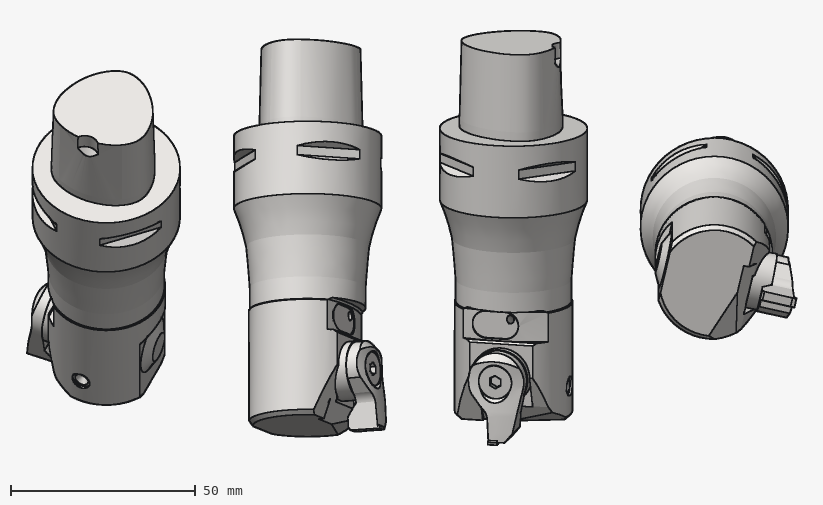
import cadquery as cq
import math


shank_height = 24.0
shank_straight = 2.5
shank_base_diameter = 28.0
shank_taper = 1 / 20
lobe_height = 0.9
lobe_count = 3
points_per_flank = 5

key_radius = 7.51 / 2
key_axis_y = -14.7
key_wall_bottom = 19.6

flange_radius = 20.0
flange_bottom = -20.0
cone_bottom = -30.6
cone_bottom_radius = 16.7
upper_sag = 0.3
neck_top = -42.0
neck_radius = 31.47 / 2
lower_sag = 0.05

notch_count = 4
notch_z = -7.93
notch_floor_height = 2.5
notch_height = 5.0
notch_depth = 2.1

head_radius = 16.0
head_top = -48.1
head_bottom = -80.0
head_bottom_chamfer = 1.2

pocket_top = -47.5
pocket_bottom = -56.4
pocket_floor_chamfer = 0.6
pocket_ends = ((11.1, -11.5), (-12.35, -10.15))
pocket_crest = (1.95, -12.5)
slot_x = -11.75
slot_z = -52.1
slot_radius = 7.51 / 2
slot_length = 12.8
coolant_hole = (-2.2, -50.4)
coolant_diameter = 2.0
coolant_depth = 8.0
coolant_drop_angle = 30.0

seat_flat_x = -13.35
seat_edge_chamfer = 0.6
rear_flat_x = 13.6
rear_flat_top = -57.3

relief_top = -66.0
relief_slope = 0.37
chip_pocket_top = -74.65
chip_pocket_slope = 0.65
chip_pocket_side_y = 6.5
recess_x = -10.0
recess_right_y = -7.95
recess_left_y = 2.9
corner_points = ((-8.8, -12.6, -76.6), (-7.5, -5.5, -78.7), (-3.6, -15.6, -78.85))

cross_z = -66.1
seat_boss_radius = 8.0
seat_boss_root = 1.0
seat_x = -15.6
rear_boss_x = 15.5
rear_boss_radius = 7.8
rear_boss_tip_radius = 4.1

nozzle_x = -0.6
nozzle_z = -70.8
nozzle_mouth_radius = 5.25 / 2
nozzle_throat_radius = 1.95
nozzle_bore_radius = 1.0 / 2
nozzle_mouth_depth = 0.7
nozzle_cone_depth = 2.6
nozzle_depth = 6.0

cutter_radius = 7.75
cutter_face_radius = 20.3
cutter_face_bend = (20.3, -67.0)
cutter_face_flare = (21.3, -74.0)
cutter_face_end_slope = 0.04
cutter_tip_radius = 21.95
cutter_bottom = -82.4
cutter_chamfer_x = -18.3
cutter_chamfer_drop = 2.1
flank_lower_y = -5.15
flank_lower_z = -79.9
flank_angle = 11.2
bottom_corner_y = -3.1
neck_start_angle = 27.0
neck_knee = (3.6, -73.2)
neck_bend = (2.45, -74.3)
neck_end = (1.85, -75.6)
edge_left_y = 1.4
edge_right_y = -1.15
edge_bottom = -83.0
edge_x = -22.5
lip_profile = ((-21.4, -81.6), (edge_x, -82.3), (edge_x, edge_bottom), (-21.4, edge_bottom))
heel_x = -13.0
heel_start_z = -75.3
heel_end_z = -79.1
heel_chamfer = 0.6
heel_bottom = -82.75

screw_head_radius = 9.2 / 2
screw_shank_radius = 6.0 / 2
screw_face_x = -19.8
screw_countersink_x = -20.0
screw_end_x = -2.0
hexagon_corner_diameter = 3.6
hexagon_depth = 2.0

reach = 60.0


def polygon_point(base_diameter, angle):
    """Point on a curve of constant width with rounded lobes, one of them toward +Y."""
    phase = lobe_count * (angle - math.pi / 2)
    support = base_diameter / 2 + lobe_height * math.cos(phase)
    slope = -lobe_count * lobe_height * math.sin(phase)
    x = support * math.cos(angle) - slope * math.sin(angle)
    y = support * math.sin(angle) + slope * math.cos(angle)
    return x, y


def polygon_wire(base_diameter, z):
    flank_count = 2 * lobe_count
    flank_span = 2 * math.pi / flank_count
    edges = []
    for flank in range(flank_count):
        start = flank * flank_span
        end = start + flank_span
        points = []
        for step in range(points_per_flank):
            angle = start + flank_span * step / (points_per_flank - 1)
            x, y = polygon_point(base_diameter, angle)
            points.append(cq.Vector(x, y, z))
        tangents = [cq.Vector(-math.sin(angle), math.cos(angle), 0) for angle in (start, end)]
        edges.append(cq.Edge.makeSpline(points, tangents=tangents))
    return cq.Wire.assembleEdges(edges)


def make_shank():
    top_diameter = shank_base_diameter - (shank_height - shank_straight) * shank_taper
    lower = polygon_wire(shank_base_diameter, 0)
    middle = polygon_wire(shank_base_diameter, shank_straight)
    upper = polygon_wire(top_diameter, shank_height)
    straight = cq.Solid.makeLoft([lower, middle], True)
    tapered = cq.Solid.makeLoft([middle, upper], True)
    shank = cq.Workplane(straight).union(cq.Workplane(tapered))

    key_groove = (
        cq.Workplane("XZ")
        .polyline([
            (0, shank_height),
            (key_radius, shank_height),
            (key_radius, key_wall_bottom),
            (0, key_wall_bottom - key_radius),
        ])
        .close()
        .revolve(360, (0, 0), (0, 1))
        .translate((0, key_axis_y, 0))
    )
    return shank.cut(key_groove)


def make_turned_body():
    upper_middle = ((flange_radius + cone_bottom_radius) / 2 - upper_sag, (flange_bottom + cone_bottom) / 2)
    lower_middle = ((cone_bottom_radius + neck_radius) / 2 - lower_sag, (cone_bottom + neck_top) / 2)
    head_shoulder = head_radius - neck_radius
    return (
        cq.Workplane("XZ")
        .moveTo(0, 0)
        .lineTo(flange_radius, 0)
        .lineTo(flange_radius, flange_bottom)
        .threePointArc(upper_middle, (cone_bottom_radius, cone_bottom))
        .threePointArc(lower_middle, (neck_radius, neck_top))
        .lineTo(neck_radius, head_top)
        .lineTo(head_radius, head_top - head_shoulder)
        .lineTo(head_radius, head_bottom + head_bottom_chamfer)
        .lineTo(head_radius - head_bottom_chamfer, head_bottom)
        .lineTo(0, head_bottom)
        .close()
        .revolve(360, (0, 0), (0, 1))
    )


def cut_notches(body):
    floor_x = flange_radius - notch_depth
    notch = (
        cq.Workplane("XZ")
        .polyline([
            (floor_x, notch_z + notch_floor_height / 2),
            (flange_radius, notch_z + notch_height / 2),
            (flange_radius, notch_z - notch_height / 2),
            (floor_x, notch_z - notch_floor_height / 2),
        ])
        .close()
        .extrude(flange_radius, both=True)
    )
    pitch = 360 / notch_count
    for index in range(notch_count):
        body = body.cut(notch.rotate((0, 0, 0), (0, 0, 1), (index + 0.5) * pitch))
    return body


def block_beyond(profile):
    """Bar with a closed X-Z profile that runs right across the part along Y."""
    return cq.Workplane("XZ").polyline(profile).close().extrude(reach, both=True)


def cut_flats(body):
    seat_flat = block_beyond([
        (seat_flat_x, head_bottom),
        (seat_flat_x, pocket_bottom - seat_edge_chamfer),
        (seat_flat_x + seat_edge_chamfer, pocket_bottom),
        (-reach, pocket_bottom),
        (-reach, head_bottom),
    ])
    ramp = head_radius - rear_flat_x
    rear_flat = block_beyond([
        (rear_flat_x, head_bottom),
        (rear_flat_x, rear_flat_top),
        (rear_flat_x + ramp, rear_flat_top + ramp),
        (rear_flat_x + ramp, head_bottom),
    ])
    return body.cut(seat_flat).cut(rear_flat)


def cut_side_pocket(body):
    (left_y, left_x), (right_y, right_x) = pocket_ends
    crest_y, crest_x = pocket_crest
    pocket = (
        cq.Workplane("XY", origin=(0, 0, pocket_bottom))
        .moveTo(left_x, left_y)
        .threePointArc((crest_x, crest_y), (right_x, right_y))
        .lineTo(-flange_radius, right_y)
        .lineTo(-flange_radius, left_y)
        .close()
        .extrude(pocket_top - pocket_bottom)
        .faces(">Z")
        .edges("%CIRCLE")
        .chamfer(pocket_floor_chamfer)
    )
    slot = (
        cq.Workplane("YZ", origin=(slot_x, 0, 0))
        .center(crest_y, slot_z)
        .slot2D(slot_length, 2 * slot_radius)
        .extrude(-head_radius / 4)
    )
    drop = math.radians(coolant_drop_angle)
    coolant_direction = cq.Vector(math.cos(drop), 0, -math.sin(drop))
    coolant_start = cq.Vector(slot_x, *coolant_hole) - coolant_direction
    coolant = cq.Workplane(cq.Solid.makeCylinder(
        coolant_diameter / 2, coolant_depth, coolant_start, coolant_direction,
    ))
    return body.cut(pocket).cut(slot).cut(coolant)


def cut_relief(body):
    """Slope under the cutter, with the deeper chip pocket, recess and cut-off corner."""
    relief = block_beyond([
        (seat_flat_x, relief_top),
        (seat_flat_x + relief_slope * (relief_top - head_bottom), head_bottom),
        (-reach, head_bottom),
        (-reach, relief_top),
    ])

    chip_x = seat_flat_x + relief_slope * (relief_top - chip_pocket_top)
    chip_pocket = block_beyond([
        (chip_x, chip_pocket_top),
        (chip_x + chip_pocket_slope * (chip_pocket_top - head_bottom), head_bottom),
        (-reach, head_bottom),
        (-reach, chip_pocket_top),
    ])
    chip_side = cq.Workplane("XY").box(
        2 * reach, reach, 4 * reach, centered=(True, False, True)
    ).translate((0, chip_pocket_side_y, 0))

    recess_height = relief_top - head_bottom
    recess = cq.Workplane("XY").box(
        reach, recess_left_y - recess_right_y, recess_height, centered=False
    ).translate((recess_x - reach, recess_right_y, head_bottom))

    first, second, third = (cq.Vector(*point) for point in corner_points)
    normal = (second - first).cross(third - first)
    corner = cq.Workplane(cq.Plane(origin=first, normal=normal)).rect(reach, reach).extrude(reach)
    return body.cut(relief).cut(chip_pocket.cut(chip_side)).cut(recess).cut(corner)


def cross_cylinder(radius, start_x, end_x):
    """Round bar on the cross axis."""
    return cq.Workplane("YZ", origin=(start_x, 0, cross_z)).circle(radius).extrude(end_x - start_x)


def add_bosses(body):
    seat_boss = cross_cylinder(seat_boss_radius, seat_x, recess_x + seat_boss_root)
    rear_boss = cq.Workplane(cq.Solid.makeCone(
        rear_boss_radius, rear_boss_tip_radius, rear_boss_x - rear_flat_x,
        cq.Vector(rear_flat_x, 0, cross_z), cq.Vector(1, 0, 0),
    ))
    return body.union(seat_boss).union(rear_boss)


def cut_nozzle_hole(body):
    mouth_y = head_radius
    nozzle = (
        cq.Workplane("XY")
        .polyline([
            (0, -mouth_y),
            (nozzle_mouth_radius, -mouth_y),
            (nozzle_mouth_radius, -mouth_y + nozzle_mouth_depth),
            (nozzle_throat_radius, -mouth_y + nozzle_mouth_depth),
            (nozzle_bore_radius, -mouth_y + nozzle_cone_depth),
            (nozzle_bore_radius, -mouth_y + nozzle_depth),
            (0, -mouth_y + nozzle_depth),
        ])
        .close()
        .revolve(360, (0, 0), (0, 1))
        .translate((nozzle_x, 0, nozzle_z))
    )
    return body.cut(nozzle)


def make_screw():
    head = cross_cylinder(screw_head_radius, screw_face_x, seat_x)
    shank = cross_cylinder(screw_shank_radius, seat_x, screw_end_x)
    hexagon = (
        cq.Workplane("YZ", origin=(screw_face_x, 0, cross_z))
        .polygon(6, hexagon_corner_diameter)
        .extrude(hexagon_depth)
        .rotate((0, 0, cross_z), (1, 0, cross_z), 90)
    )
    return head.union(shank).cut(hexagon)


def make_holder():
    body = cut_notches(make_turned_body())
    body = cut_side_pocket(cut_flats(body))
    body = cut_nozzle_hole(add_bosses(cut_relief(body)))
    screw_hole = cross_cylinder(screw_shank_radius, seat_x, screw_end_x)
    return body.union(make_shank()).cut(screw_hole)


def cutter_outline():
    """Round head with a leg that narrows to the cutting edge."""
    flank = math.radians(flank_angle)
    flank_y = -cutter_radius * math.cos(flank)
    flank_z = cross_z - cutter_radius * math.sin(flank)
    neck = math.radians(neck_start_angle)
    neck_y = cutter_radius * math.cos(neck)
    neck_z = cross_z - cutter_radius * math.sin(neck)
    return (
        cq.Workplane("YZ", origin=(-reach, 0, 0))
        .moveTo(flank_y, flank_z)
        .threePointArc((0, cross_z + cutter_radius), (neck_y, neck_z))
        .lineTo(*neck_knee)
        .threePointArc(neck_bend, neck_end)
        .lineTo(edge_left_y, cutter_bottom)
        .lineTo(edge_left_y, edge_bottom)
        .lineTo(edge_right_y, edge_bottom)
        .lineTo(edge_right_y, cutter_bottom)
        .lineTo(bottom_corner_y, cutter_bottom)
        .lineTo(flank_lower_y, flank_lower_z)
        .close()
        .extrude(reach)
    )


def make_cutter():
    head_top_z = cross_z + cutter_radius

    front = (
        cq.Workplane("XZ")
        .moveTo(0, head_top_z)
        .lineTo(cutter_face_radius, head_top_z)
        .spline(
            [cutter_face_bend, cutter_face_flare, (cutter_tip_radius, edge_bottom)],
            tangents=[(0, -1), (cutter_face_end_slope, -1)],
            includeCurrent=True,
        )
        .lineTo(0, edge_bottom)
        .close()
        .revolve(360, (0, 0), (0, 1))
    )

    back = block_beyond([
        (-reach, head_top_z),
        (seat_x, head_top_z),
        (seat_x, heel_start_z),
        (heel_x, heel_end_z),
        (heel_x, heel_bottom + heel_chamfer),
        (heel_x - heel_chamfer, heel_bottom),
        (-cutter_tip_radius, edge_bottom),
        (-reach, edge_bottom),
    ])
    cutter = cutter_outline().intersect(front).intersect(back)

    cone_radius = cutter_radius + cutter_chamfer_drop
    cone = cq.Workplane(cq.Solid.makeCone(
        cone_radius, 0, cone_radius,
        cq.Vector(cutter_chamfer_x, 0, cross_z - cutter_chamfer_drop), cq.Vector(-1, 0, 0),
    ))
    bevel = (
        cq.Workplane("XY")
        .box(reach, reach, reach, centered=(False, True, False))
        .translate((cutter_chamfer_x - reach, 0, cross_z))
        .cut(cone)
    )

    lip = (
        cq.Workplane("XZ", origin=(0, edge_left_y, 0))
        .polyline(lip_profile)
        .close()
        .extrude(edge_left_y - edge_right_y)
    )

    screw_hole = cross_cylinder(screw_head_radius, -reach / 2, seat_x)
    countersink = cq.Workplane(cq.Solid.makeCone(
        screw_head_radius, 2 * screw_head_radius, screw_head_radius,
        cq.Vector(screw_countersink_x, 0, cross_z), cq.Vector(-1, 0, 0),
    ))
    return cutter.cut(bevel).union(lip).cut(screw_hole).cut(countersink)


holder = make_holder()
cutter = make_cutter()
screw = make_screw()

result = cq.Compound.makeCompound([holder.val(), cutter.val(), screw.val()])